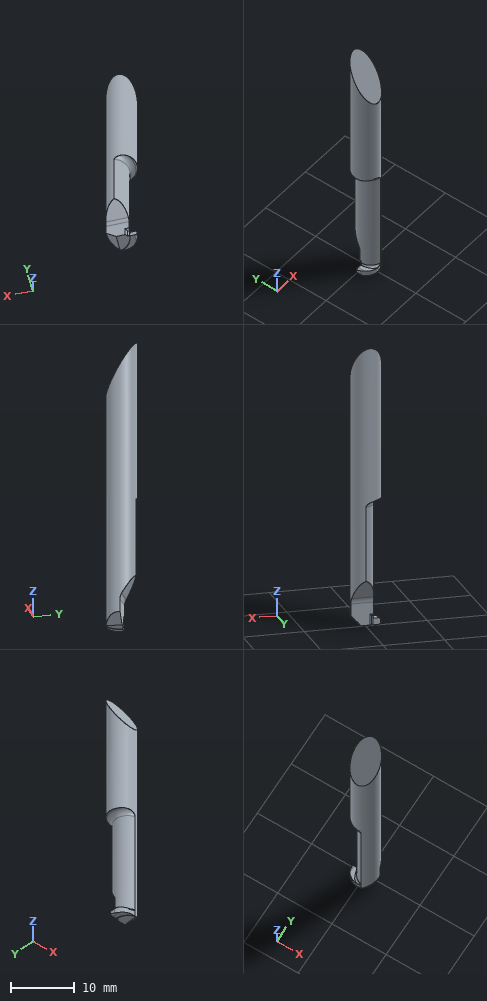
import cadquery as cq
import math

LENGTH = 46.6
SHANK_DIAMETER = 5.0
END_ANGLE = 30.0

NECK_OFFSET = 1.25
SHOULDER_Z = 21.35
SHOULDER_FILLET = 0.95

RAKE_Y = 0.25
SLOPE_TOP_Z = 8.35
SLOPE_BLEND = 1.85

BAR_BOTTOM_Z = 0.15
BACK_CHAMFER_X = 0.85
BACK_CHAMFER_HEIGHT = 1.7

TIP_HEIGHT = 1.15
TIP_NOSE_RADIUS = 0.45
TIP_CORNER = 0.4
TIP_BOTTOM_RISE = 0.05
TIP_CLEARANCE_ANGLE = 2.0
LAND_END_Y = -0.95
TIP_TOP_DROP = 0.1
TIP_ROOT_FILLET = 0.35

EDGE_Y = -0.1
GROOVE_TOP_Z = 1.95
GROOVE_FLOOR_END_X = -0.95

RADIUS = SHANK_DIAMETER / 2
TIP_NOSE_X = -RADIUS + TIP_NOSE_RADIUS
SLOPE_RATIO = math.tan(math.radians(END_ANGLE))
CLEARANCE = 2 * SHANK_DIAMETER


def make_shank():
    """Round bar with a slanted top, a stepped back and a chamfered bottom."""
    top_cut_z = LENGTH - SHANK_DIAMETER / SLOPE_RATIO
    slope_bottom_z = SLOPE_TOP_Z - (RADIUS - RAKE_Y) / SLOPE_RATIO
    side_outline = (
        cq.Workplane("YZ")
        .moveTo(-RADIUS, BAR_BOTTOM_Z)
        .lineTo(RAKE_Y, BAR_BOTTOM_Z)
        .lineTo(RAKE_Y, slope_bottom_z)
        .lineTo(RADIUS, SLOPE_TOP_Z)
        .lineTo(RADIUS, LENGTH)
        .lineTo(-RADIUS, top_cut_z)
        .close()
        .extrude(RADIUS, both=True)
    )
    slope_foot = cq.selectors.NearestToPointSelector((0, RAKE_Y, slope_bottom_z))
    side_outline = side_outline.edges(slope_foot).fillet(SLOPE_BLEND)
    shank = cq.Workplane("XY").circle(RADIUS).extrude(LENGTH).intersect(side_outline)

    chamfer = (
        cq.Workplane("XZ")
        .moveTo(BACK_CHAMFER_X, BAR_BOTTOM_Z)
        .lineTo(RADIUS, BAR_BOTTOM_Z + BACK_CHAMFER_HEIGHT)
        .lineTo(RADIUS, BAR_BOTTOM_Z)
        .close()
        .extrude(RADIUS, both=True)
    )
    return shank.cut(chamfer)


def make_neck_clearance():
    """Material removed around the neck, with a concave fillet under the shoulder."""
    return (
        cq.Workplane("XZ")
        .moveTo(RADIUS, 0)
        .lineTo(RADIUS, SHOULDER_Z - SHOULDER_FILLET)
        .radiusArc((RADIUS + SHOULDER_FILLET, SHOULDER_Z), SHOULDER_FILLET)
        .lineTo(CLEARANCE, SHOULDER_Z)
        .lineTo(CLEARANCE, 0)
        .close()
        .revolve(360, (0, 0, 0), (0, 1, 0))
        .translate((NECK_OFFSET, 0, 0))
    )


def make_chip_groove():
    """Shallow groove behind the cutting edge, with a sloped inner wall and top."""
    depth = RAKE_Y - EDGE_Y
    groove = (
        cq.Workplane("XY")
        .moveTo(-RADIUS, EDGE_Y)
        .lineTo(GROOVE_FLOOR_END_X, EDGE_Y)
        .lineTo(GROOVE_FLOOR_END_X + depth, RAKE_Y)
        .lineTo(-RADIUS, RAKE_Y)
        .close()
        .extrude(GROOVE_TOP_Z)
    )
    top_slope = (
        cq.Workplane("YZ")
        .moveTo(EDGE_Y, GROOVE_TOP_Z - depth)
        .lineTo(RAKE_Y, GROOVE_TOP_Z)
        .lineTo(EDGE_Y, GROOVE_TOP_Z)
        .close()
        .extrude(RADIUS, both=True)
    )
    return groove.cut(top_slope)


def make_bar():
    return make_shank().cut(make_neck_clearance()).cut(make_chip_groove())


def make_lip():
    """Rounded lip profile, narrowing backwards from the cutting edge for clearance."""
    return (
        cq.Workplane("XZ", origin=(0, EDGE_Y, 0))
        .moveTo(TIP_NOSE_X, 0)
        .lineTo(NECK_OFFSET, TIP_BOTTOM_RISE)
        .lineTo(NECK_OFFSET, TIP_HEIGHT - TIP_TOP_DROP)
        .lineTo(-RADIUS + TIP_CORNER, TIP_HEIGHT)
        .radiusArc((-RADIUS, TIP_HEIGHT - TIP_CORNER), -TIP_CORNER)
        .lineTo(-RADIUS, TIP_NOSE_RADIUS)
        .radiusArc((TIP_NOSE_X, 0), -TIP_NOSE_RADIUS)
        .close()
        .extrude(RADIUS, taper=TIP_CLEARANCE_ANGLE)
    )


def make_root_fillet():
    """Concave ring that blends the top of the lip into the neck."""
    base_z = TIP_HEIGHT - TIP_TOP_DROP
    ring = (
        cq.Workplane("XZ")
        .moveTo(RADIUS, base_z + TIP_ROOT_FILLET)
        .radiusArc((RADIUS + TIP_ROOT_FILLET, base_z), -TIP_ROOT_FILLET)
        .lineTo(RADIUS + TIP_ROOT_FILLET, TIP_CORNER)
        .lineTo(RADIUS, TIP_CORNER)
        .close()
        .revolve(360, (0, 0, 0), (0, 1, 0))
        .translate((NECK_OFFSET, 0, 0))
    )
    front_half = cq.Workplane("XZ", origin=(0, EDGE_Y, 0)).rect(CLEARANCE, CLEARANCE).extrude(CLEARANCE)
    return ring.intersect(front_half)


def make_tip():
    """Crescent cutting lip that hugs the neck and has a flat land behind its nose."""
    tip_top_z = TIP_HEIGHT + TIP_ROOT_FILLET
    outer = cq.Workplane("XY").circle(RADIUS).extrude(tip_top_z)
    neck = cq.Workplane("XY").center(NECK_OFFSET, 0).circle(RADIUS).extrude(tip_top_z)
    land = (
        cq.Workplane("XY")
        .moveTo(-RADIUS, EDGE_Y)
        .lineTo(-math.sqrt(RADIUS**2 - LAND_END_Y**2), LAND_END_Y)
        .lineTo(-RADIUS, LAND_END_Y)
        .close()
        .extrude(tip_top_z)
    )
    return make_lip().union(make_root_fillet()).intersect(outer).cut(neck).cut(land)


bar = make_bar()
tip = make_tip()

result = cq.Compound.makeCompound([bar.solids().val(), tip.solids().val()])